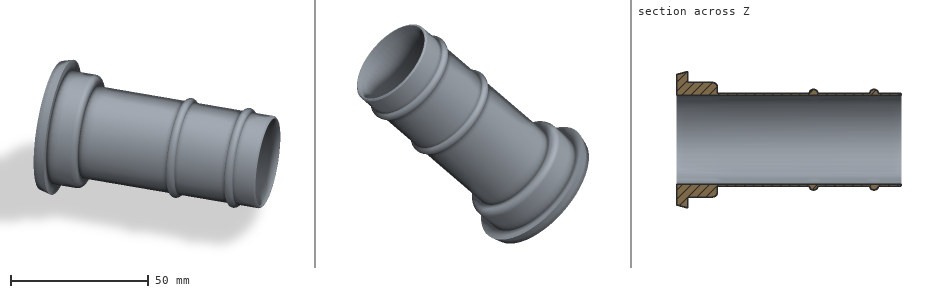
import cadquery as cq

length = 82.0
bore_radius = 16.2
tube_radius = 17.05
tube_end_chamfer = 0.5

flange_width = 4.2
flange_face_radius = 23.9
flange_rim_radius = 25.0

collar_radius = 21.0
collar_end = 15.0
collar_round = 2.0

bead_centers = (49.9, 72.0)
bead_section_radius = 1.6
bead_radius = 18.45


def make_body():
    """Flange, collar and tube as one revolved solid, before boring."""
    profile = (
        cq.Workplane("XY")
        .moveTo(0, 0)
        .lineTo(0, flange_face_radius)
        .lineTo(flange_width, flange_rim_radius)
        .lineTo(flange_width, collar_radius)
        .lineTo(collar_end - collar_round, collar_radius)
        .radiusArc((collar_end, collar_radius - collar_round), collar_round)
        .lineTo(collar_end, tube_radius)
        .lineTo(length - tube_end_chamfer, tube_radius)
        .lineTo(length, tube_radius - tube_end_chamfer)
        .lineTo(length, 0)
        .close()
    )
    return profile.revolve(360, (0, 0, 0), (1, 0, 0))


def make_bead(center):
    """Ring of circular section, partly sunk into the tube."""
    ring_radius = bead_radius - bead_section_radius
    section = cq.Workplane("XY").center(center, ring_radius).circle(bead_section_radius)
    return section.revolve(360, (0, -ring_radius, 0), (1, -ring_radius, 0))


body = make_body()
for bead_center in bead_centers:
    body = body.union(make_bead(bead_center))

bore = cq.Workplane("YZ").circle(bore_radius).extrude(length)
result = body.cut(bore)